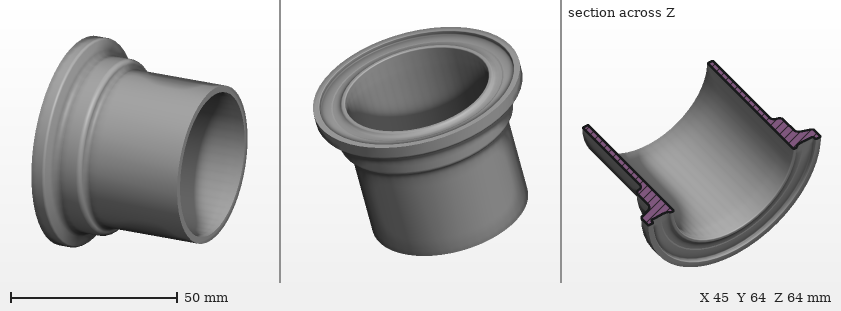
import cadquery as cq
import math

length = 45.0
flange_radius = 32.0
hub_radius = 54.0 / 2
tube_radius = 48.3 / 2
bore_radius = 44.3 / 2

flank_angle = math.radians(20)
rim_straight_end = 3.45
rim_round = 0.9
flank_blend_end = 7.3
flank_blend_radius = 2.05

step_start = 12.5
step_end = 15.5

recess_edge_radius = 30.3
recess_wall_radius = 60.0 / 2
recess_floor_outer_radius = 29.6
recess_floor_inner_radius = 26.6

trough_outer_radius = 26.2
trough_below_floor = 0.09
trough_depth = 1.5

lip_base_radius = 23.6
lip_base_angle = math.radians(48)
lip_flat_outer_radius = 23.0
lip_flat_inner_radius = 22.5
lip_setback = 0.5


def arc_point(center, radius, angle):
    """Point on a circle, with the angle measured from the X direction."""
    return (center[0] + radius * math.cos(angle), center[1] + radius * math.sin(angle))


def flange_back(profile):
    """Continue the profile from the flange rim to the start of the hub."""
    rim_center = (rim_straight_end, flange_radius - rim_round)
    blend_center = (flank_blend_end, hub_radius + flank_blend_radius)
    blend_start_angle = math.pi + flank_angle
    blend_middle_angle = (blend_start_angle + 1.5 * math.pi) / 2
    return (
        profile.lineTo(rim_straight_end, flange_radius)
        .threePointArc(
            arc_point(rim_center, rim_round, (math.pi / 2 + flank_angle) / 2),
            arc_point(rim_center, rim_round, flank_angle),
        )
        .lineTo(*arc_point(blend_center, flank_blend_radius, blend_start_angle))
        .threePointArc(
            arc_point(blend_center, flank_blend_radius, blend_middle_angle),
            (flank_blend_end, hub_radius),
        )
    )


def hub_and_tube(profile):
    """Continue the profile along the hub, down a tangent S-curve, and along the tube."""
    step_middle = ((step_start + step_end) / 2, (hub_radius + tube_radius) / 2)
    return (
        profile.lineTo(step_start, hub_radius)
        .tangentArcPoint(step_middle, relative=False)
        .tangentArcPoint((step_end, tube_radius), relative=False)
        .lineTo(length, tube_radius)
        .lineTo(length, bore_radius)
    )


def sealing_face(profile):
    """Continue the profile from the bore, over the lip, through the trough to the flange face."""
    lip_inner_round = lip_flat_inner_radius - bore_radius
    lip_outer_round = (lip_base_radius - lip_flat_outer_radius) / math.sin(lip_base_angle)
    recess_depth = trough_depth - trough_below_floor

    lip_center = (lip_setback + lip_outer_round, lip_flat_outer_radius)
    lip_middle = arc_point(lip_center, lip_outer_round, math.pi - lip_base_angle / 2)
    lip_base = arc_point(lip_center, lip_outer_round, math.pi - lip_base_angle)
    trough_start_tangent = (math.sin(lip_base_angle), math.cos(lip_base_angle))
    trough_end_tangent = (0, 1)
    edge_round = recess_edge_radius - recess_wall_radius
    floor_round = recess_wall_radius - recess_floor_outer_radius
    return (
        profile.lineTo(lip_setback + lip_inner_round, bore_radius)
        .tangentArcPoint((lip_setback, lip_flat_inner_radius), relative=False)
        .lineTo(lip_setback, lip_flat_outer_radius)
        .threePointArc(lip_middle, lip_base)
        .spline(
            [(trough_depth, trough_outer_radius)],
            tangents=[trough_start_tangent, trough_end_tangent],
            includeCurrent=True,
        )
        .lineTo(recess_depth, recess_floor_inner_radius)
        .lineTo(recess_depth, recess_floor_outer_radius)
        .tangentArcPoint((recess_depth - floor_round, recess_wall_radius), relative=False)
        .lineTo(edge_round, recess_wall_radius)
        .tangentArcPoint((0, recess_edge_radius), relative=False)
        .close()
    )


profile = cq.Workplane("XY").moveTo(0, flange_radius)
profile = sealing_face(hub_and_tube(flange_back(profile)))
result = profile.revolve(360, (0, 0, 0), (1, 0, 0))